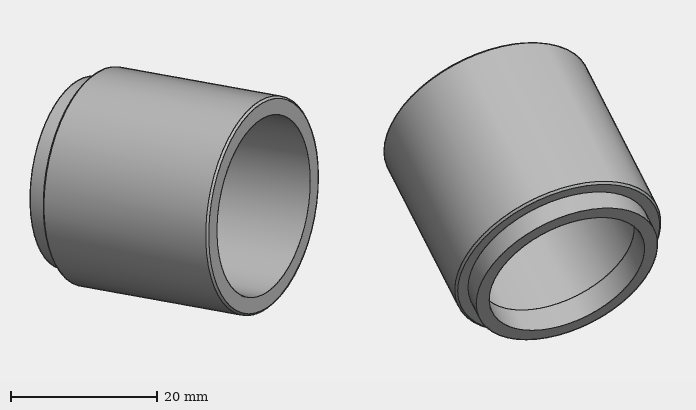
import cadquery as cq

total_length = 29.2
body_diameter = 30.48
spigot_diameter = 26.82
spigot_length = 3.0
edge_chamfer = 0.3
lip_bore_diameter = 22.98
lip_length = 3.75
main_bore_diameter = 25.4

body_length = total_length - spigot_length
main_bore_length = total_length - lip_length


def cylinder(start, length, diameter):
    """Solid cylinder along +X, starting at the given X position."""
    return cq.Workplane("YZ", origin=(start, 0, 0)).circle(diameter / 2).extrude(length)


body = cylinder(spigot_length, body_length, body_diameter).edges().chamfer(edge_chamfer)

spigot = cylinder(0, spigot_length, spigot_diameter)

lip_bore = cylinder(0, total_length, lip_bore_diameter)
main_bore = cylinder(lip_length, main_bore_length, main_bore_diameter)

result = body.union(spigot).cut(lip_bore).cut(main_bore)